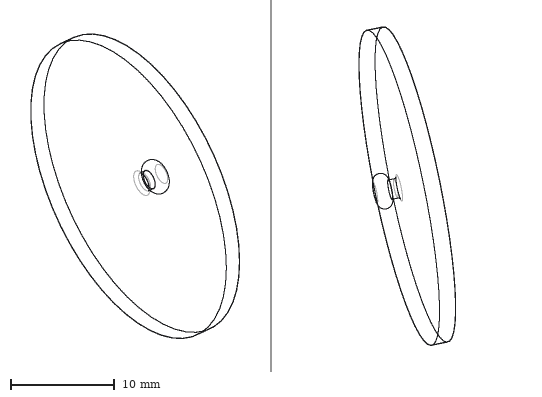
import cadquery as cq

disc_diameter = 31.0
total_depth = 4.0
disc_thickness = 1.6
head_diameter = 3.47
head_thickness = 1.5
neck_diameter = 1.9
root_fillet = 0.35

neck_radius = neck_diameter / 2
head_edge_radius = head_thickness / 2
head_flat_radius = head_diameter / 2 - head_edge_radius
head_start = total_depth - head_thickness
disc_front = -total_depth / 2


def make_disc():
    """Plain round plate, its axis along Z until the whole part is turned."""
    return cq.Workplane("XY").circle(disc_diameter / 2).extrude(disc_thickness)


def make_knob():
    """Mushroom knob: flared neck root, straight neck and a flat head with a full-round rim."""
    root_middle = root_fillet * (1 - 0.5 ** 0.5)
    profile = (
        cq.Workplane("XZ")
        .moveTo(0, disc_thickness)
        .lineTo(neck_radius + root_fillet, disc_thickness)
        .threePointArc(
            (neck_radius + root_middle, disc_thickness + root_middle),
            (neck_radius, disc_thickness + root_fillet),
        )
        .lineTo(neck_radius, head_start)
        .lineTo(head_flat_radius, head_start)
        .threePointArc(
            (head_diameter / 2, head_start + head_edge_radius),
            (head_flat_radius, total_depth),
        )
        .lineTo(0, total_depth)
        .close()
    )
    return profile.revolve(360, (0, 0, 0), (0, 1, 0))


upright = make_disc().union(make_knob())
result = upright.rotate((0, 0, 0), (1, 0, 0), -90).translate((0, disc_front, 0))